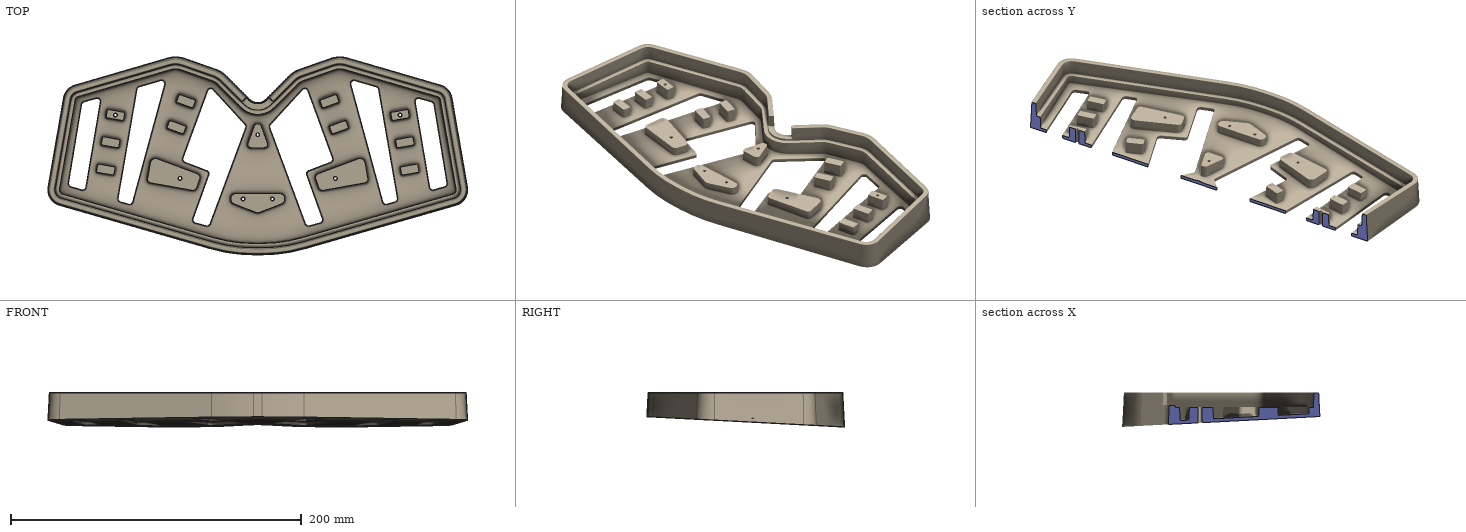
import cadquery as cq
import math

draft = 3.0
floor_tilt = 3.0
floor_thickness = 2.5
underside_mid_z = -20.13
ledge_z = -10.0
rim_width = 3.5
rim_fillet = 0.3
floor_fillet = 0.5
ledge_inset = 7.0
notch_depth = 8.7
notch_apex_y = 48.2
notch_reach = 23.0
hole_diameter = 2.43
drop = 29.0

neck_corner = (0, 31.8, 9.2)
outline_right = [
    (17.5, -67.0, 104.0),
    (144.8, -30.3, 10.0),
    (131.5, 46.0, 10.0),
    (56.0, 67.9, 17.3),
    (25.5, 57.2, 17.3),
]

window_radius = 2.3
inner_window = [(7.8, 20.8), (33.5, -48.5), (45.3, -45.3), (33.0, -10.83), (52.3, -3.5), (33.2, 48.5)]
middle_window = [(63.0, 53.0), (86.5, -33.8), (96.5, -31.0), (83.0, 47.4)]
outer_window = [(107.7, 40.7), (118.7, -24.0), (130.5, -20.5), (121.0, 37.0)]

wedge_pad = [(39.0, -13.0, 3.0), (42.7, -24.0, 3.0), (76.2, -18.0, 2.3), (73.0, -0.3, 3.5)]
wedge_hole = (53.5, -15.3)
neck_pad = [(-7.8, 5.8, 2.3), (7.8, 5.8, 2.3), (1.88, 22.2, 2.3), (-1.88, 22.2, 2.3)]
neck_hole = (0, 14.7)
front_pad = [(18.5, -25.7, 3.2), (-18.5, -25.7, 3.2), (-18.5, -32.0, 3.2), (0, -39.3, 4.3), (18.5, -32.0, 3.2)]
front_hole_x = 10.0
front_hole_y = -29.5

block_length = 12.0
block_width = 5.8
block_radius = 1.0
block_pitch = 19.0
inner_row_start = (49.5, 37.8)
inner_row_angle = 20
inner_row_count = 2
outer_row_start = (98.0, 28.3)
outer_row_angle = 10
outer_row_count = 3


def rounded_outline(corners, z=0):
    """Closed wire through the corners (x, y, radius), each rounded by a tangent arc."""
    arcs = []
    for i, (x, y, radius) in enumerate(corners):
        corner = cq.Vector(x, y, z)
        before, after = corners[i - 1], corners[(i + 1) % len(corners)]
        to_before = (cq.Vector(before[0], before[1], z) - corner).normalized()
        to_after = (cq.Vector(after[0], after[1], z) - corner).normalized()
        half_angle = to_before.getAngle(to_after) / 2
        reach = radius / math.tan(half_angle)
        bisector = (to_before + to_after).normalized()
        middle = corner + bisector * (radius / math.sin(half_angle) - radius)
        arcs.append((corner + to_before * reach, middle, corner + to_after * reach))
    edges = []
    for i, (start, middle, end) in enumerate(arcs):
        edges.append(cq.Edge.makeLine(arcs[i - 1][2], start))
        edges.append(cq.Edge.makeThreePointArc(start, middle, end))
    return cq.Workplane(cq.Wire.assembleEdges(edges))


def mirror_corners(corners):
    """Mirror corners across X = 0, reversed so that the outline keeps its direction."""
    return [(-corner[0],) + tuple(corner[1:]) for corner in reversed(corners)]


def prism(corners, z, depth, taper=0.0):
    """Rounded outline at height z, extruded downwards."""
    return rounded_outline(corners, z).toPending().extrude(-depth, taper=taper)


def inset_prism(corners, inset, z, depth, taper):
    """Rounded outline moved inwards by inset, extruded downwards from height z."""
    outline = rounded_outline(corners, z).toPending().offset2D(-inset)
    return outline.extrude(-depth, taper=taper)


def below_slope(mid_z):
    """Everything below the tilted plane that crosses Y = 0 at mid_z."""
    size = 577.5
    return (
        cq.Workplane("XY")
        .box(size, size, size, centered=(True, True, False))
        .translate((0, 0, -size))
        .rotate((0, 0, 0), (1, 0, 0), -floor_tilt)
        .translate((0, 0, mid_z))
    )


tilt = math.radians(floor_tilt)
outline = outline_right + [neck_corner] + mirror_corners(outline_right)
underside = below_slope(underside_mid_z)
floor_top = below_slope(underside_mid_z + floor_thickness / math.cos(tilt))

body = prism(outline, 0, drop, -draft)
upper_cavity = inset_prism(outline, rim_width, 0, -ledge_z, draft)
lower_cavity = inset_prism(outline, ledge_inset, ledge_z, drop, draft)
body = body.cut(upper_cavity)
body = body.faces(">Z").edges().fillet(rim_fillet)
body = body.cut(lower_cavity.cut(floor_top))

notch = (
    cq.Workplane("XY")
    .workplane(offset=-notch_depth)
    .polyline([
        (0, notch_apex_y),
        (-notch_reach, notch_apex_y - notch_reach),
        (notch_reach, notch_apex_y - notch_reach),
    ])
    .close()
    .extrude(drop)
)
body = body.cut(notch)


def block_row(start, angle, count):
    """Equal blocks in a row that runs square to their long side."""
    half_length, half_width = block_length / 2, block_width / 2
    corners = [
        (-half_length, -half_width, block_radius),
        (half_length, -half_width, block_radius),
        (half_length, half_width, block_radius),
        (-half_length, half_width, block_radius),
    ]
    block = prism(corners, ledge_z, drop, -draft).rotate((0, 0, 0), (0, 0, 1), angle)
    step_x = block_pitch * math.sin(math.radians(angle))
    step_y = -block_pitch * math.cos(math.radians(angle))
    return [block.translate((start[0] + i * step_x, start[1] + i * step_y, 0)) for i in range(count)]


right_supports = [
    prism(wedge_pad, ledge_z, drop, -draft),
    *block_row(inner_row_start, inner_row_angle, inner_row_count),
    *block_row(outer_row_start, outer_row_angle, outer_row_count),
]
for support in right_supports:
    body = body.union(support).union(support.mirror("YZ"))
for pad in (neck_pad, front_pad):
    body = body.union(prism(pad, ledge_z, drop, -draft))

for window in (inner_window, middle_window, outer_window):
    corners = [(x, y, window_radius) for x, y in window]
    cutter = prism(corners, ledge_z, drop)
    body = body.cut(cutter).cut(cutter.mirror("YZ"))

floor_normal = cq.Vector(0, math.sin(tilt), math.cos(tilt))
body = body.faces(cq.ParallelDirSelector(floor_normal)).edges().fillet(floor_fillet)

body = body.cut(underside)

right_holes = [wedge_hole, outer_row_start, (front_hole_x, front_hole_y)]
holes = right_holes + mirror_corners(right_holes) + [neck_hole]
body = body.cut(
    cq.Workplane("XY").pushPoints(holes).circle(hole_diameter / 2).extrude(-drop)
)

result = body